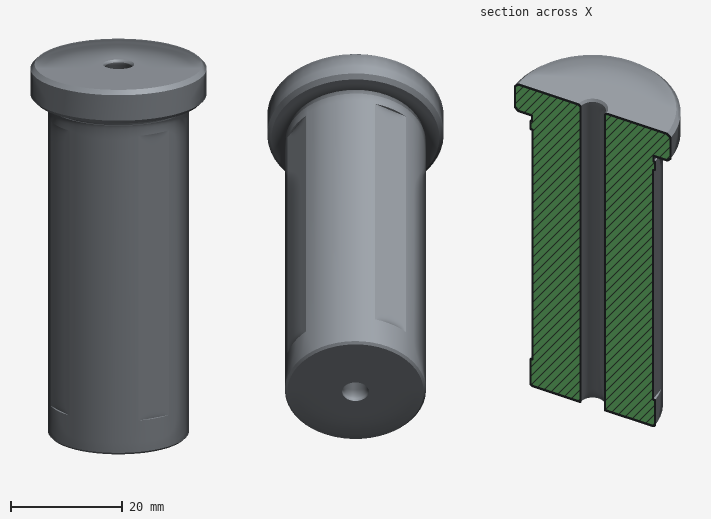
import cadquery as cq

total_height = 69.85
head_radius = 31.8 / 2
head_height = 6.35
head_chamfer = 0.8
body_radius = 25.4 / 2
foot_chamfer = 0.4

relief_depth = 0.3
relief_height = 1.2

bore_radius = 4.8 / 2
bore_chamfer = 0.4

flat_count = 4
flat_distance = 12.3
flat_bottom = 6.35
flat_top = 60.2

head_bottom = total_height - head_height


def make_turned_body():
    """Solid of revolution: chamfered foot, body, relief and chamfered head."""
    profile = [
        (0, 0),
        (body_radius - foot_chamfer, 0),
        (body_radius, foot_chamfer),
        (body_radius, head_bottom - relief_height),
        (body_radius - relief_depth, head_bottom - relief_height),
        (body_radius - relief_depth, head_bottom),
        (head_radius - head_chamfer, head_bottom),
        (head_radius, head_bottom + head_chamfer),
        (head_radius, total_height - head_chamfer),
        (head_radius - head_chamfer, total_height),
        (0, total_height),
    ]
    return cq.Workplane("XZ").polyline(profile).close().revolve(360, (0, 0), (0, 1))


def make_bore():
    """Through bore, widened by a chamfer at the head face."""
    profile = [
        (0, 0),
        (bore_radius, 0),
        (bore_radius, total_height - bore_chamfer),
        (bore_radius + bore_chamfer, total_height),
        (0, total_height),
    ]
    return cq.Workplane("XZ").polyline(profile).close().revolve(360, (0, 0), (0, 1))


def make_flat_cutter(angle):
    """Block lying outside one flat, turned about the axis by the given angle."""
    block = cq.Workplane("XY").box(
        body_radius,
        2 * body_radius,
        flat_top - flat_bottom,
        centered=(False, True, False),
    )
    block = block.translate((flat_distance, 0, flat_bottom))
    return block.rotate((0, 0, 0), (0, 0, 1), angle)


result = make_turned_body().cut(make_bore())
for index in range(flat_count):
    result = result.cut(make_flat_cutter(index * 360 / flat_count))